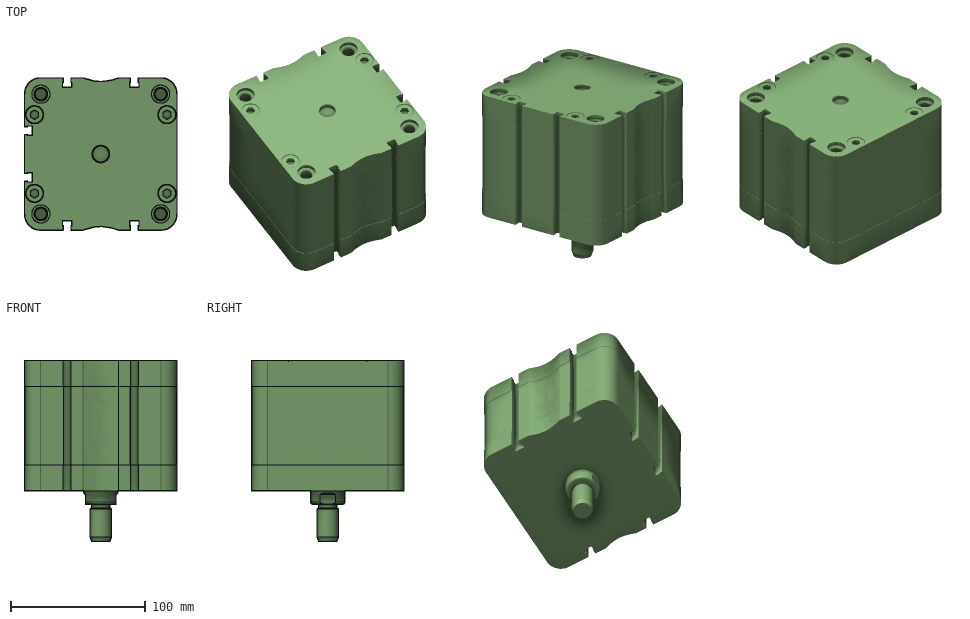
import cadquery as cq

cap_width = 113.5
barrel_width = 113.1
block_height = 97.0
cap_height = 19.3
barrel_height = block_height - 2 * cap_height
corner_radius = 11.7

hollow_half_chord = 13.2
hollow_depth = 2.8
hollow_end_slope = 0.38

face_slot_offset = 25.0
face_slot_depth = 7.0
face_slot_mouth_depth = 3.4
side_slot_offset = 17.4
side_slot_mouth_depth = 2.0
cap_slot_mouth = 6.0
cap_slot_chamber = 7.0
cap_side_slot_depth = 6.0
barrel_slot_mouth = 5.7
barrel_slot_chamber = 6.8
barrel_side_slot_depth = 5.5

screw_x = 49.3
screw_y = 29.3
screw_face_diameter = 12.7
screw_recess_diameter = 13.5
screw_sink = 0.34
socket_across_flats = 6.0
socket_depth = 4.0

mount_pitch = 89.1
mount_bore_diameter = 13.5
mount_bore_depth = 3.0
mount_chamfer_diameter = 10.1
mount_hole_diameter = 8.5
mount_hole_depth = 16.2

centre_hole_diameter = 12.0
centre_hole_mouth_diameter = 13.1
centre_hole_depth = 3.5

rod_diameter = 25.6
rod_length = 10.1
rod_end_rounding = 2.0
flats_width = 22.8
flats_start = 1.5
neck_diameter = 14.0
neck_length = 2.7
neck_cone_length = 0.7
thread_diameter = 16.0
thread_tip_diameter = 13.5
thread_tip_length = 3.5
stud_end = 38.0


def slot_cutter(depth, mouth_depth, mouth, chamber, height):
    """Undercut slot through the given height, opening at X = 0 and running into +X."""
    mouth_part = cq.Workplane("XY").box(2 * mouth_depth, mouth, height, centered=(True, True, False))
    chamber_part = cq.Workplane("XY").box(depth - mouth_depth, chamber, height, centered=(False, True, False))
    return mouth_part.union(chamber_part.translate((mouth_depth, 0, 0)))


def profile_block(width, height, mouth, chamber, side_slot_depth):
    """Rounded square block with the hollows and slots that run along the whole cylinder."""
    half_width = width / 2
    block = cq.Workplane("XY").rect(width, width).extrude(height).edges("|Z").fillet(corner_radius)

    hollow = (
        cq.Workplane("XY")
        .moveTo(-hollow_half_chord, -half_width)
        .spline(
            [(0, hollow_depth - half_width), (hollow_half_chord, -half_width)],
            tangents=[(1, hollow_end_slope), (1, -hollow_end_slope)],
            includeCurrent=True,
        )
        .close()
        .extrude(height)
    )
    block = block.cut(hollow).cut(hollow.mirror("XZ"))

    face_slot = slot_cutter(face_slot_depth, face_slot_mouth_depth, mouth, chamber, height)
    side_slot = slot_cutter(side_slot_depth, side_slot_mouth_depth, mouth, chamber, height)
    for side in (-1, 1):
        for turn in (90, -90):
            y = -half_width if turn == 90 else half_width
            turned = face_slot.rotate((0, 0, 0), (0, 0, 1), turn)
            block = block.cut(turned.translate((side * face_slot_offset, y, 0)))
        block = block.cut(side_slot.translate((-half_width, side * side_slot_offset, 0)))
    return block


def cap_profile():
    return profile_block(cap_width, cap_height, cap_slot_mouth, cap_slot_chamber, cap_side_slot_depth)


def make_barrel():
    barrel = profile_block(
        barrel_width, barrel_height, barrel_slot_mouth, barrel_slot_chamber, barrel_side_slot_depth
    )
    return barrel.translate((0, 0, cap_height))


def make_bearing_cap():
    """Lower cap, bored for the piston rod."""
    return cap_profile().faces("<Z").workplane().hole(rod_diameter)


def screw_cutter():
    """Material removed below Z = 0 to leave a sunken screw head with a bevelled rim and hex socket."""
    head_radius = screw_recess_diameter / 2
    face_radius = screw_face_diameter / 2
    bevel = head_radius - face_radius
    recess = (
        cq.Workplane("XZ")
        .lineTo(head_radius, 0)
        .lineTo(head_radius, -screw_sink - bevel)
        .lineTo(face_radius, -screw_sink)
        .lineTo(0, -screw_sink)
        .close()
        .revolve(360, (0, 0, 0), (0, 1, 0))
    )
    hexagon = cq.Workplane("XY").polygon(6, socket_across_flats, circumscribed=True)
    socket = hexagon.extrude(-screw_sink - socket_depth)
    return recess.union(socket)


def make_end_cap():
    """Upper cap with the centre hole, the mounting holes and the screw heads."""
    cap = cap_profile()
    top = cq.Workplane("XY", origin=(0, 0, cap_height))

    centre_chamfer = (centre_hole_mouth_diameter - centre_hole_diameter) / 2
    centre_hole = top.circle(centre_hole_diameter / 2).extrude(-centre_hole_depth)
    centre_mouth = top.circle(centre_hole_mouth_diameter / 2).extrude(-centre_chamfer, taper=45)
    cap = cap.cut(centre_hole).cut(centre_mouth)

    mounts = top.rect(mount_pitch, mount_pitch, forConstruction=True).vertices()
    mount_chamfer = (mount_chamfer_diameter - mount_hole_diameter) / 2
    bore_floor = top.workplane(offset=-mount_bore_depth)
    chamfers = bore_floor.rect(mount_pitch, mount_pitch, forConstruction=True).vertices()
    cap = cap.cut(mounts.circle(mount_bore_diameter / 2).extrude(-mount_bore_depth))
    cap = cap.cut(chamfers.circle(mount_chamfer_diameter / 2).extrude(-mount_chamfer, taper=45))
    cap = cap.cut(mounts.circle(mount_hole_diameter / 2).extrude(-mount_hole_depth))

    screw_relief = screw_cutter().translate((0, 0, cap_height))
    for x in (-screw_x, screw_x):
        for y in (-screw_y, screw_y):
            cap = cap.cut(screw_relief.translate((x, y, 0)))
    return cap.translate((0, 0, block_height - cap_height))


def make_piston_rod():
    """Rod turned about Z, reaching up through the bearing cap, with two wrench flats."""
    rod_radius = rod_diameter / 2
    neck_radius = neck_diameter / 2
    thread_radius = thread_diameter / 2
    neck_end = rod_length + neck_length
    rod = (
        cq.Workplane("XZ")
        .moveTo(0, cap_height)
        .lineTo(rod_radius, cap_height)
        .lineTo(rod_radius, rod_end_rounding - rod_length)
        .radiusArc((rod_radius - rod_end_rounding, -rod_length), rod_end_rounding)
        .lineTo(neck_radius, -rod_length)
        .lineTo(neck_radius, -neck_end)
        .lineTo(thread_radius, -neck_end - neck_cone_length)
        .lineTo(thread_radius, thread_tip_length - stud_end)
        .lineTo(thread_tip_diameter / 2, -stud_end)
        .lineTo(0, -stud_end)
        .close()
        .revolve(360, (0, 0, 0), (0, 1, 0))
    )

    flat_depth = rod_radius - flats_width / 2
    flat = (
        cq.Workplane("XZ")
        .moveTo(rod_radius, -flats_start)
        .lineTo(rod_radius - flat_depth, -flats_start - flat_depth)
        .lineTo(rod_radius - flat_depth, -rod_length)
        .lineTo(rod_radius, -rod_length)
        .close()
        .extrude(rod_radius, both=True)
    )
    return rod.cut(flat).cut(flat.mirror("YZ"))


end_cap = make_end_cap()
barrel = make_barrel()
bearing_cap = make_bearing_cap()
piston_rod = make_piston_rod()

result = cq.Compound.makeCompound([end_cap.val(), barrel.val(), bearing_cap.val(), piston_rod.val()])